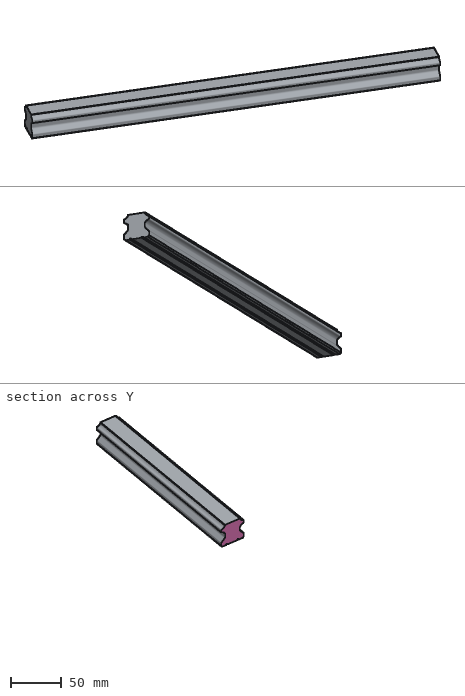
import cadquery as cq
import math

WIDTH = 28.0
LENGTH = 420.0
HEIGHT = 26.0
HALF_WIDTH = WIDTH / 2

NOSE_HEIGHT = 20.0
NOSE_HALF_TIP = 1.8
NOSE_RADIUS = 1.3
SHOULDER_X = 12.2
SHOULDER_RISE = 2.4

NECK_X = 9.4
GROOVE_RISE = 5.2
GROOVE_SAG = 0.4

FOOT_EDGE_HEIGHT = 5.6
FOOT_RADIUS = 1.2
WAIST_RADIUS = 2.4
BASE_CHAMFER = 1.5

RELIEF_X = 6.6
RELIEF_RADIUS = 1.0


def groove_middle(start, end):
    """Deepest point of a ball groove, GROOVE_SAG towards the rail from its chord."""
    chord = math.dist(start, end)
    inward_x = -abs(end[1] - start[1]) / chord
    inward_z = math.copysign(abs(end[0] - start[0]) / chord, NOSE_HEIGHT - start[1])
    middle_x = (start[0] + end[0]) / 2
    middle_z = (start[1] + end[1]) / 2
    return (middle_x + GROOVE_SAG * inward_x, middle_z + GROOVE_SAG * inward_z)


def round_edges(body, points, radius):
    """Fillet the lengthwise edges that pass through the given section points."""
    for x, z in points:
        body = body.edges(cq.selectors.NearestToPointSelector((x, 0, z))).fillet(radius)
    return body


def half_rail():
    """The +X half of the rail, with its corners rounded."""
    foot_edge = (HALF_WIDTH, FOOT_EDGE_HEIGHT)
    waist_bottom = (NECK_X, FOOT_EDGE_HEIGHT + HALF_WIDTH - NECK_X)
    waist_top = (NECK_X, NOSE_HEIGHT - GROOVE_RISE)
    lower_shoulder = (SHOULDER_X, NOSE_HEIGHT - SHOULDER_RISE)
    lower_tip = (HALF_WIDTH, NOSE_HEIGHT - NOSE_HALF_TIP)
    upper_tip = (HALF_WIDTH, NOSE_HEIGHT + NOSE_HALF_TIP)
    upper_shoulder = (SHOULDER_X, NOSE_HEIGHT + SHOULDER_RISE)
    top_edge = (NECK_X, NOSE_HEIGHT + GROOVE_RISE)
    body = (
        cq.Workplane("XZ")
        .moveTo(0, 0)
        .lineTo(HALF_WIDTH - BASE_CHAMFER, 0)
        .lineTo(HALF_WIDTH, BASE_CHAMFER)
        .lineTo(*foot_edge)
        .lineTo(*waist_bottom)
        .lineTo(*waist_top)
        .threePointArc(groove_middle(waist_top, lower_shoulder), lower_shoulder)
        .lineTo(*lower_tip)
        .lineTo(*upper_tip)
        .lineTo(*upper_shoulder)
        .threePointArc(groove_middle(upper_shoulder, top_edge), top_edge)
        .lineTo(NECK_X, HEIGHT)
        .lineTo(0, HEIGHT)
        .close()
        .extrude(LENGTH / 2, both=True)
        .clean()
    )
    body = round_edges(body, [foot_edge], FOOT_RADIUS)
    body = round_edges(body, [waist_bottom, waist_top], WAIST_RADIUS)
    return round_edges(body, [lower_tip, upper_tip], NOSE_RADIUS)


def relief_grooves():
    """Cutters for the pair of half-round grooves along the underside."""
    return (
        cq.Workplane("XZ")
        .pushPoints([(-RELIEF_X, 0), (RELIEF_X, 0)])
        .circle(RELIEF_RADIUS)
        .extrude(LENGTH / 2, both=True)
    )


half = half_rail()
result = half.union(half.mirror("YZ")).clean().cut(relief_grooves())